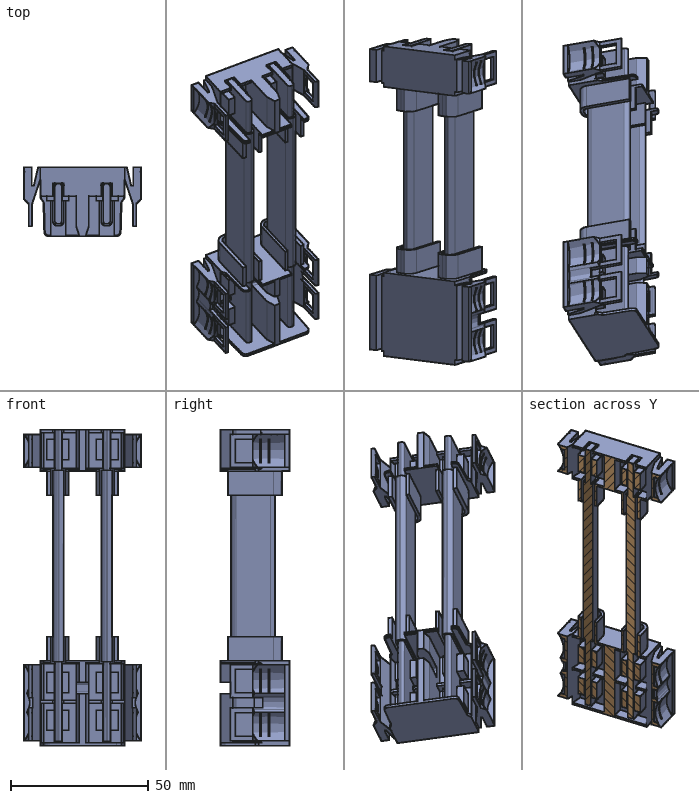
import cadquery as cq


total_height = 115.1
upper_height = 15.1
lower_height = 31.0
part_depth = 25.2

block_half_width = 15.35
block_depth = 10.5
plate_thickness = 1.05
recess_wall_depth = 6.5
recess_mouth_half_width = 15.1
recess_floor_half_width = 14.1
single_bay_deck_top = upper_height
double_bay_deck_top = 15.5

flange_shoulder_depth = 11.2
flange_neck_depth = 12.6
flange_neck_half_width = 14.3
flange_front_half_width = 13.95
flange_corner_radius = 1.7
flange_edge_bevel = 0.35

post_half_width = 2.3
post_tip_half_width = 1.1
post_taper_depth = 21.5
post_gap_bottom = 7.9
post_gap_top = 11.95
post_gap_floor_depth = block_depth
post_gap_radius = 0.7

blade_spacing = 17.6
blade_back_flat = 7.05
blade_front_flat = 19.6
blade_edge_flat = 0.4
blade_thickness = 4.0
tongue_thickness = 2.5
tongue_bottom = 1.75
shoulder_inset = 0.4
tongue_clearance = 0.2

boss_spacing = 17.95
boss_width = 7.9
boss_height = 7.4
boss_start = 4.2
boss_pitch = 13.8
boss_depth = 12.3

sleeve_spacing = boss_spacing
sleeve_width = boss_width
sleeve_length = 8.8
sleeve_back = 2.7
sleeve_front = 22.5
sleeve_corner_radius = 3.25
sleeve_wall = 1.2
sleeve_slot_width = 5.35
sleeve_slot_radius = sleeve_corner_radius - sleeve_wall

arm_half_span = 21.35
arm_start = 1.4
arm_height = 12.0
arm_pitch = 15.8
grip_limb_inner = 18.4
notch_depth = 6.7
notch_floor_half_span = 17.75
root_outer = 16.2
root_joint_depth = 4.5
tab_outer = 19.6
tab_inner = 18.3
tab_start = 13.4
tab_end = 21.6
arm_bevel_start = 11.6
tab_corner_radius = 0.6
tab_gap_start = 9.8
tab_gap_floor = 18.1

grip_start = 1.75
grip_dish = 2.35
ridge_depth = 1.1
saddle_edge_depth = 1.6
saddle_dish = 2.15
ridge_half_spacing = 3.5
saddle_half_width = 2.3
groove_depths = (7.5, 10.6)
groove_width = 0.45
groove_length = 8.6
groove_floor = 18.5
window_start = 13.5
window_end = 19.7
window_height = 8.5


def prism(points, bottom, top):
    """Upright prism over (x, depth) points, with depth counted from the back face."""
    outline = [(x, -depth) for x, depth in points]
    return cq.Workplane("XY").workplane(offset=bottom).polyline(outline).close().extrude(top - bottom)


def slab(x_min, x_max, back, front, bottom, top):
    return prism([(x_min, back), (x_max, back), (x_max, front), (x_min, front)], bottom, top)


def mirrored_pair(shape):
    return shape.union(shape.mirror("YZ"))


def rounded_bar(x, thickness, bottom, top):
    """Upright flat bar at x whose rounded corners leave a narrow flat along each edge."""
    radius = (thickness - blade_edge_flat) / 2
    half = thickness / 2
    bar = slab(x - half, x + half, blade_back_flat - radius, blade_front_flat + radius, bottom, top)
    return bar.edges("|Z").fillet(radius)


def flange(bottom):
    half_outline = [
        (block_half_width, 0),
        (block_half_width, flange_shoulder_depth),
        (flange_neck_half_width, flange_neck_depth),
        (flange_front_half_width, part_depth),
    ]
    outline = half_outline + [(-x, depth) for x, depth in reversed(half_outline)]
    plate = prism(outline, bottom, bottom + plate_thickness)
    return plate.edges("|Z and <Y").fillet(flange_corner_radius)


def block(height, deck_top):
    """Block with a front recess on each side of every deck."""
    body = slab(-block_half_width, block_half_width, 0, block_depth, 0, height)
    recess_plan = [
        (-recess_mouth_half_width, block_depth),
        (-recess_floor_half_width, recess_wall_depth),
        (recess_floor_half_width, recess_wall_depth),
        (recess_mouth_half_width, block_depth),
    ]
    body = body.cut(prism(recess_plan, plate_thickness, deck_top - plate_thickness))
    if height > deck_top:
        body = body.cut(prism(recess_plan, deck_top, height - plate_thickness))
    return body


def post(height):
    half_outline = [
        (post_half_width, recess_wall_depth),
        (post_half_width, post_taper_depth),
        (post_tip_half_width, part_depth),
    ]
    return prism(half_outline + [(-x, depth) for x, depth in reversed(half_outline)], 0, height)


def post_gap():
    """Notch across the post, with rounded inner corners."""
    notch = slab(
        -post_half_width,
        post_half_width,
        post_gap_floor_depth,
        part_depth,
        post_gap_bottom,
        post_gap_top,
    )
    return notch.edges("|X and >Y").fillet(post_gap_radius)


def boss(bottom):
    inner = (boss_spacing - boss_width) / 2
    return slab(inner, inner + boss_width, recess_wall_depth, boss_depth, bottom, bottom + boss_height)


def sleeve():
    inner = (sleeve_spacing - sleeve_width) / 2
    shell = slab(inner, inner + sleeve_width, sleeve_back, sleeve_front, -sleeve_length, 0)
    return shell.edges("|Z and >Y").fillet(sleeve_corner_radius)


def sleeve_slot():
    """U-shaped passage through the sleeve and the flange, open at the front."""
    inner = (blade_spacing - sleeve_slot_width) / 2
    back = sleeve_back + sleeve_wall
    slot = slab(inner, inner + sleeve_slot_width, back, part_depth, -sleeve_length, plate_thickness)
    return slot.edges("|Z and >Y").fillet(sleeve_slot_radius)


def deck_slot(bottom):
    """Clearance notch for the blade tongue in a deck."""
    inner = (blade_spacing - blade_thickness) / 2
    back = blade_back_flat - tongue_thickness / 2
    return slab(inner, inner + blade_thickness, back, block_depth, bottom, bottom + plate_thickness)


def arm_blank(bottom, top):
    """Right-hand latch arm: root limb, grip limb and front tab."""
    outline = [
        (block_half_width, 0),
        (root_outer, 0),
        (notch_floor_half_span, notch_depth),
        (grip_limb_inner, notch_depth),
        (grip_limb_inner, 0),
        (arm_half_span, 0),
        (arm_half_span, arm_bevel_start),
        (tab_outer, tab_start),
        (tab_outer, tab_end),
        (tab_inner, tab_end),
        (tab_inner, tab_start),
        (block_half_width, root_joint_depth),
    ]
    return prism(outline, bottom, top).edges("|Z and <Y").edges("<X").fillet(tab_corner_radius)


def grip_cutter(profile):
    return profile.close().extrude(tab_start - grip_start)


def grip_plane():
    """XZ sketch plane at the back end of the grips, extruding toward the front."""
    return cq.Workplane("XZ", origin=(0, -grip_start, 0))


def single_grip(bottom):
    dish = (arm_half_span - grip_dish, bottom + arm_height / 2)
    profile = (
        grip_plane()
        .moveTo(arm_half_span, bottom)
        .threePointArc(dish, (arm_half_span, bottom + arm_height))
    )
    return grip_cutter(profile)


def double_grip(bottom, top):
    """Two dished grips with a shallow saddle between their ridges."""
    middle = (bottom + top) / 2
    dish_x = arm_half_span - grip_dish
    ridge_x = arm_half_span - ridge_depth
    saddle_x = arm_half_span - saddle_edge_depth
    profile = (
        grip_plane()
        .moveTo(arm_half_span, bottom)
        .threePointArc((dish_x, bottom + arm_height / 2), (ridge_x, middle - ridge_half_spacing))
        .lineTo(saddle_x, middle - saddle_half_width)
        .threePointArc((arm_half_span - saddle_dish, middle), (saddle_x, middle + saddle_half_width))
        .lineTo(ridge_x, middle + ridge_half_spacing)
        .threePointArc((dish_x, top - arm_height / 2), (arm_half_span, top))
    )
    return grip_cutter(profile)


def arm(arm_count):
    """Latch arm with one grip and one windowed tab per bay."""
    top = arm_start + (arm_count - 1) * arm_pitch + arm_height
    body = arm_blank(arm_start, top)
    if arm_count == 1:
        body = body.cut(single_grip(arm_start))
    else:
        body = body.cut(double_grip(arm_start, top))
        gap_bottom = arm_start + arm_height
        gap_top = arm_start + arm_pitch
        body = body.cut(slab(tab_gap_floor, arm_half_span, tab_gap_start, tab_end, gap_bottom, gap_top))
    for index in range(arm_count):
        middle = arm_start + index * arm_pitch + arm_height / 2
        half_window = window_height / 2
        window = slab(
            tab_inner, tab_outer, window_start, window_end, middle - half_window, middle + half_window
        )
        body = body.cut(window)
        for depth in groove_depths:
            groove = slab(
                groove_floor,
                arm_half_span,
                depth - groove_width / 2,
                depth + groove_width / 2,
                middle - groove_length / 2,
                middle + groove_length / 2,
            )
            body = body.cut(groove)
    return body


def housing(height, bay_count, deck_top):
    sleeve_flange = flange(0).faces(">Z").edges("<Y or >X or <X").chamfer(flange_edge_bevel)
    body = block(height, deck_top).union(sleeve_flange).union(post(height))
    for bay in range(bay_count):
        body = body.union(mirrored_pair(boss(boss_start + bay * boss_pitch)))
    body = body.union(mirrored_pair(sleeve())).union(mirrored_pair(arm(bay_count)))
    return body.cut(mirrored_pair(sleeve_slot())).cut(mirrored_pair(deck_slot(deck_top - plate_thickness)))


def tongue_passage(top):
    inner = (blade_spacing - tongue_thickness) / 2 - tongue_clearance
    width = tongue_thickness + 2 * tongue_clearance
    back = blade_back_flat - tongue_thickness / 2
    return mirrored_pair(slab(inner, inner + width, back, boss_depth, 0, top))


def upper_housing():
    """Single-bay housing, open at the top where the tongues end flush."""
    body = housing(upper_height, 1, single_bay_deck_top).cut(tongue_passage(upper_height))
    return body.translate((0, 0, total_height - upper_height))


def lower_housing():
    """Double-bay housing, turned over and closed by a base plate."""
    body = housing(lower_height, 2, double_bay_deck_top).cut(post_gap())
    body = body.union(flange(lower_height - plate_thickness))
    body = body.cut(tongue_passage(lower_height - tongue_bottom))
    return body.mirror("XY").translate((0, 0, lower_height))


def blade(x):
    """Thick bar between the flanges with a thinner tongue running into each housing."""
    bar_bottom = lower_height - shoulder_inset
    bar_top = total_height - upper_height + shoulder_inset
    tongue = rounded_bar(x, tongue_thickness, tongue_bottom, total_height)
    return tongue.union(rounded_bar(x, blade_thickness, bar_bottom, bar_top))


blades = [blade(side * blade_spacing / 2) for side in (-1, 1)]

result = cq.Compound.makeCompound(
    [upper_housing().val(), lower_housing().val(), *[bar.val() for bar in blades]]
)